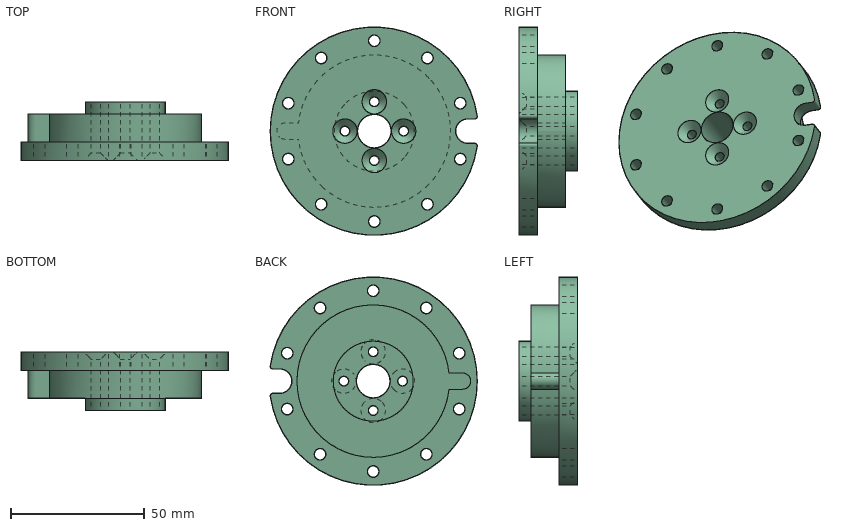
import cadquery as cq

flange_diameter = 78.0
flange_thickness = 7.0
body_diameter = 57.1
body_length = 10.45
spigot_diameter = 29.95
spigot_length = 4.5
total_length = flange_thickness + body_length + spigot_length

lug_radius = 3.05
lug_center_distance = 33.5

notch_radius = 4.5
notch_center_distance = 35.0
notch_lip_radius = 1.0

bore_diameter = 12.5
rim_hole_count = 10
rim_hole_diameter = 4.2
rim_hole_circle_radius = 33.85
screw_count = 4
screw_hole_diameter = 3.5
screw_circle_radius = 11.0
countersink_diameter = 9.1
countersink_angle = 90.0


def front_plane(depth=0.0):
    """XZ sketch plane at a given Y depth; positive extrusion goes toward -Y."""
    return cq.Workplane("XZ", origin=(0, depth, 0))


def disc(diameter, start, length):
    return front_plane(start).circle(diameter / 2).extrude(-length)


def make_lug():
    """Straight-sided lug running from the body axis to its rounded tip."""
    return (
        front_plane(flange_thickness)
        .moveTo(0, lug_radius)
        .lineTo(-lug_center_distance, lug_radius)
        .threePointArc((-lug_center_distance - lug_radius, 0), (-lug_center_distance, -lug_radius))
        .lineTo(0, -lug_radius)
        .close()
        .extrude(-body_length)
    )


def make_notch():
    """Round-bottomed slot that opens through the flange edge."""
    return (
        front_plane()
        .moveTo(flange_diameter, notch_radius)
        .lineTo(notch_center_distance, notch_radius)
        .threePointArc((notch_center_distance - notch_radius, 0), (notch_center_distance, -notch_radius))
        .lineTo(flange_diameter, -notch_radius)
        .close()
        .extrude(-flange_thickness)
    )


def make_flange():
    flange = disc(flange_diameter, 0, flange_thickness).cut(make_notch())
    lip_edges = cq.selectors.BoxSelector(
        (notch_center_distance + notch_lip_radius, 0, -flange_diameter / 4),
        (flange_diameter, flange_thickness, flange_diameter / 4),
    )
    return flange.edges("|Y").edges(lip_edges).fillet(notch_lip_radius)


flange = make_flange()
body = disc(body_diameter, flange_thickness, body_length)
spigot = disc(spigot_diameter, flange_thickness + body_length, spigot_length)
part = flange.union(body).union(make_lug()).union(spigot)

part = part.cut(disc(bore_diameter, 0, total_length))

part = part.cut(
    front_plane()
    .polarArray(rim_hole_circle_radius, 90, 360, rim_hole_count)
    .circle(rim_hole_diameter / 2)
    .extrude(-flange_thickness)
)

result = (
    part.copyWorkplane(front_plane())
    .polarArray(screw_circle_radius, 0, 360, screw_count)
    .cskHole(screw_hole_diameter, countersink_diameter, countersink_angle)
)